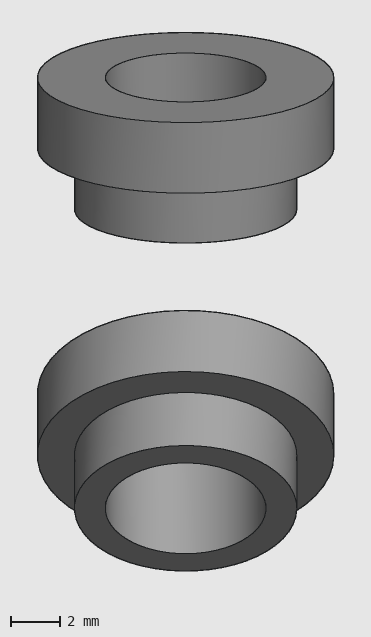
import cadquery as cq

collar_diameter = 12.0
spigot_diameter = 9.0
bore_diameter = 6.5
total_height = 5.6
collar_height = 3.0
spigot_height = total_height - collar_height


def make_body():
    """Spigot standing on the XY plane, with the collar stacked on top of it."""
    spigot = cq.Workplane("XY").circle(spigot_diameter / 2).extrude(spigot_height)
    return spigot.faces(">Z").workplane().circle(collar_diameter / 2).extrude(collar_height)


def cut_bore(body):
    """Plain bore along the Z axis, through the full height."""
    return body.faces(">Z").workplane().hole(bore_diameter)


result = cut_bore(make_body())